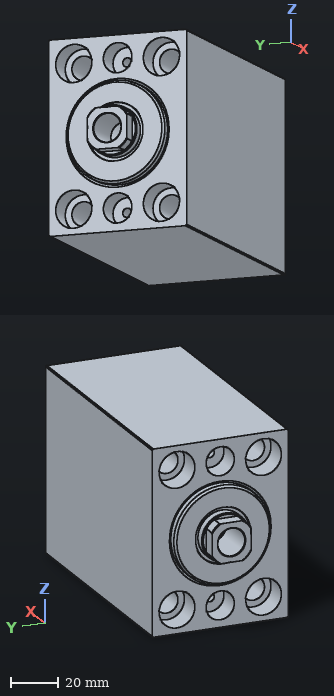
import cadquery as cq
import math


total_length = 125.0
block_width = 63.0
block_height = 85.0
rod_reach = 12.0
block_length = total_length - rod_reach
block_edge_chamfer = 0.5

mount_y = 20.0
mount_z = 31.5
mount_diameter = 10.5
mount_head_diameter = 16.5
mount_head_depth = 11.0

port_z = 32.5
port_diameter = 13.0
port_depth = 11.0
port_drill_diameter = 4.0
port_drill_depth = 25.0

gland_diameter = 44.8
gland_reach = 3.0
gland_seat_depth = 20.0
gland_chamfer = 1.0
bore_mouth_chamfer = 1.1
rod_recess_diameter = 25.5
rod_recess_depth = 1.5

rod_diameter = 22.0
shoulder_reach = 6.0
shoulder_chamfer = 0.5
tip_diameter = rod_diameter - 2 * shoulder_chamfer
tip_chamfer = 0.2
across_flats = 18.0
rod_hole_diameter = 12.5
rod_hole_depth = 20.0
rod_hole_chamfer = 0.2
drill_point_angle = 118.0


def cylinder(diameter, x_start, x_end, y=0.0, z=0.0):
    """Solid cylinder parallel to X, from x_start to x_end."""
    return (
        cq.Workplane("YZ", origin=(x_start, y, z))
        .circle(diameter / 2)
        .extrude(x_end - x_start)
    )


def cone(start_diameter, end_diameter, x_start, x_end):
    """Solid cone or cone frustum about the X axis."""
    direction = cq.Vector(1, 0, 0)
    origin = cq.Vector(x_start, 0, 0)
    return cq.Workplane(
        cq.Solid.makeCone(start_diameter / 2, end_diameter / 2, x_end - x_start, origin, direction)
    )


def mounting_hole(y, z):
    through_hole = cylinder(mount_diameter, 0, block_length, y, z)
    head_recess = cylinder(mount_head_diameter, 0, mount_head_depth, y, z)
    return through_hole.union(head_recess)


def oil_port(z):
    port = cylinder(port_diameter, 0, port_depth, z=z)
    drilling = cylinder(port_drill_diameter, 0, port_drill_depth, z=z)
    return port.union(drilling)


def make_housing():
    block = (
        cq.Workplane("YZ")
        .rect(block_width, block_height)
        .extrude(block_length)
        .edges("|X")
        .chamfer(block_edge_chamfer)
    )
    gland_bore = cylinder(gland_diameter, 0, gland_seat_depth)
    mouth_diameter = gland_diameter + 2 * bore_mouth_chamfer
    bore_mouth = cone(mouth_diameter, gland_diameter, 0, bore_mouth_chamfer)
    block = block.cut(gland_bore).cut(bore_mouth)
    for z_side in (-1, 1):
        block = block.cut(oil_port(z_side * port_z))
        for y_side in (-1, 1):
            block = block.cut(mounting_hole(y_side * mount_y, z_side * mount_z))
    return block


def make_gland():
    body = (
        cylinder(gland_diameter, -gland_reach, gland_seat_depth)
        .faces("<X")
        .chamfer(gland_chamfer)
    )
    rod_bore = cylinder(rod_diameter, -gland_reach, gland_seat_depth)
    rod_recess = cylinder(rod_recess_diameter, -gland_reach, rod_recess_depth - gland_reach)
    return body.cut(rod_bore).cut(rod_recess)


def rod_hole():
    bottom = rod_hole_depth - rod_reach
    point_length = rod_hole_diameter / 2 / math.tan(math.radians(drill_point_angle / 2))
    mouth_diameter = rod_hole_diameter + 2 * rod_hole_chamfer
    drilling = cylinder(rod_hole_diameter, -rod_reach, bottom)
    point = cone(rod_hole_diameter, 0, bottom, bottom + point_length)
    mouth = cone(mouth_diameter, rod_hole_diameter, -rod_reach, rod_hole_chamfer - rod_reach)
    return drilling.union(point).union(mouth)


def make_rod():
    shaft = (
        cylinder(rod_diameter, -shoulder_reach, gland_seat_depth)
        .faces("<X")
        .chamfer(shoulder_chamfer)
    )
    tip = (
        cylinder(tip_diameter, -rod_reach, -shoulder_reach)
        .faces("<X")
        .chamfer(tip_chamfer)
    )
    flats = (
        cq.Workplane("YZ", origin=(-rod_reach, 0, 0))
        .rect(across_flats, across_flats)
        .extrude(rod_reach - shoulder_reach)
    )
    return shaft.union(tip.intersect(flats)).cut(rod_hole())


housing = make_housing()
gland = make_gland()
rod = make_rod()

result = cq.Compound.makeCompound([housing.val(), gland.val(), rod.val()])